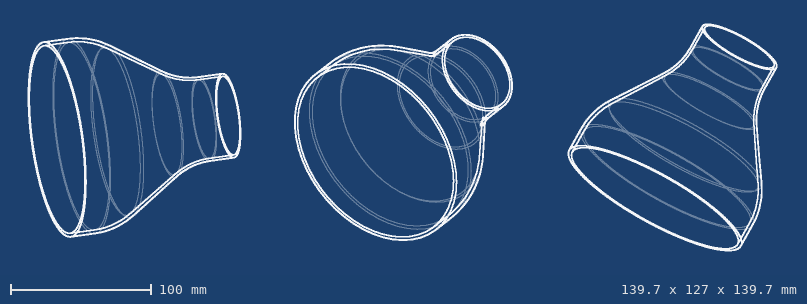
import cadquery as cq
import math

LENGTH = 127.0
COLLAR_LENGTH = 18.0
OUTER_BEND_RADIUS = 50.0

WIDE_OUTER_DIAMETER = 139.7
WIDE_BORE_DIAMETER = 134.5
NARROW_OUTER_DIAMETER = 60.3
NARROW_BORE_DIAMETER = 56.3

WIDE_WALL = (WIDE_OUTER_DIAMETER - WIDE_BORE_DIAMETER) / 2
NARROW_WALL = (NARROW_OUTER_DIAMETER - NARROW_BORE_DIAMETER) / 2

WIDE_BORE_BEND_RADIUS = OUTER_BEND_RADIUS - WIDE_WALL
NARROW_BORE_BEND_RADIUS = OUTER_BEND_RADIUS + NARROW_WALL

TAPER_START = COLLAR_LENGTH
TAPER_END = LENGTH - COLLAR_LENGTH


def cone_half_angle(radius_drop, bend_radius_sum):
    """Half angle of the cone that runs tangent to both bends."""
    axial_gap = TAPER_END - TAPER_START
    radial_gap = bend_radius_sum - radius_drop
    centre_distance = math.hypot(axial_gap, radial_gap)
    return math.atan2(axial_gap, radial_gap) - math.acos(bend_radius_sum / centre_distance)


def reducer_solid(wide_diameter, narrow_diameter, wide_bend_radius, narrow_bend_radius):
    """Solid of revolution: collar, convex bend, cone, concave bend, collar."""
    wide_radius = wide_diameter / 2
    narrow_radius = narrow_diameter / 2
    cone_angle = cone_half_angle(wide_radius - narrow_radius, wide_bend_radius + narrow_bend_radius)

    def wide_bend_point(turn):
        drop = wide_bend_radius * (1 - math.cos(turn))
        return (wide_radius - drop, TAPER_START + wide_bend_radius * math.sin(turn))

    def narrow_bend_point(turn):
        rise = narrow_bend_radius * (1 - math.cos(turn))
        return (narrow_radius + rise, TAPER_END - narrow_bend_radius * math.sin(turn))

    return (
        cq.Workplane("XY")
        .lineTo(wide_radius, 0)
        .lineTo(wide_radius, TAPER_START)
        .threePointArc(wide_bend_point(cone_angle / 2), wide_bend_point(cone_angle))
        .lineTo(*narrow_bend_point(cone_angle))
        .threePointArc(narrow_bend_point(cone_angle / 2), (narrow_radius, TAPER_END))
        .lineTo(narrow_radius, LENGTH)
        .lineTo(0, LENGTH)
        .close()
        .revolve(360, (0, 0, 0), (0, 1, 0))
    )


outside = reducer_solid(
    WIDE_OUTER_DIAMETER,
    NARROW_OUTER_DIAMETER,
    OUTER_BEND_RADIUS,
    OUTER_BEND_RADIUS,
)
bore = reducer_solid(
    WIDE_BORE_DIAMETER,
    NARROW_BORE_DIAMETER,
    WIDE_BORE_BEND_RADIUS,
    NARROW_BORE_BEND_RADIUS,
)
result = outside.cut(bore)